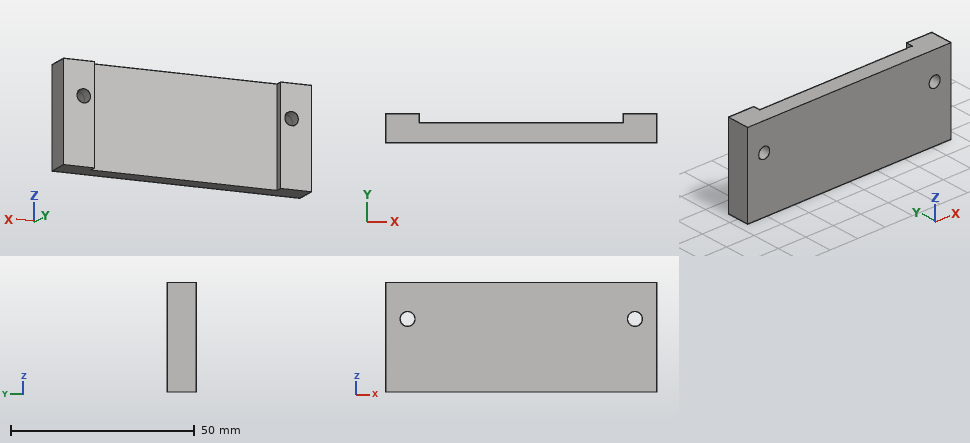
import cadquery as cq

length = 74.0
thickness = 8.0
height = 30.0

pad_width = 9.25
recess_depth = 2.45
recess_width = length - 2 * pad_width

hole_diameter = 4.0
hole_from_end = 6.0
hole_from_top = 10.0
hole_x = length / 2 - hole_from_end
hole_z = height / 2 - hole_from_top

plate = cq.Workplane("XY").box(length, thickness, height)

recess = (
    cq.Workplane("XY")
    .box(recess_width, recess_depth, height)
    .translate((0, (thickness - recess_depth) / 2, 0))
)

holes = (
    cq.Workplane("XZ")
    .pushPoints([(-hole_x, hole_z), (hole_x, hole_z)])
    .circle(hole_diameter / 2)
    .extrude(thickness, both=True)
)

result = plate.cut(recess).cut(holes)